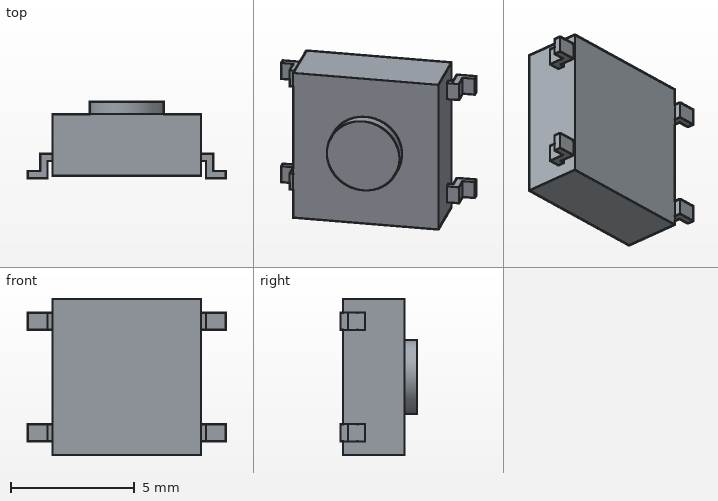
import cadquery as cq

housing_width = 6.0
housing_depth = 2.5
housing_height = 6.3

button_diameter = 3.0
button_travel = 0.5

overall_width = 8.0
lead_reach = (overall_width - housing_width) / 2
lead_thickness = 0.3
lead_width = 0.7
lead_pitch = 4.5
lead_rise = 1.0
foot_drop = 0.1
riser_outer = lead_reach / 2


def make_lead(side, center_z):
    """Z-shaped lead; side is -1 or +1 for the housing side it leaves."""
    wall_x = side * housing_width / 2
    riser_inner_x = wall_x + side * (riser_outer - lead_thickness)
    riser_outer_x = wall_x + side * riser_outer
    tip_x = wall_x + side * lead_reach
    foot_y = -foot_drop
    shoulder_y = foot_y + lead_rise
    outline = [
        (wall_x, shoulder_y),
        (riser_outer_x, shoulder_y),
        (riser_outer_x, foot_y + lead_thickness),
        (tip_x, foot_y + lead_thickness),
        (tip_x, foot_y),
        (riser_inner_x, foot_y),
        (riser_inner_x, shoulder_y - lead_thickness),
        (wall_x, shoulder_y - lead_thickness),
    ]
    return (
        cq.Workplane("XY", origin=(0, 0, center_z - lead_width / 2))
        .polyline(outline)
        .close()
        .extrude(lead_width)
    )


def make_housing():
    """Block with its four leads, as one solid."""
    body = cq.Workplane("XY").box(
        housing_width, housing_depth, housing_height, centered=(True, False, True)
    )
    for side in (-1, 1):
        for center_z in (-lead_pitch / 2, lead_pitch / 2):
            body = body.union(make_lead(side, center_z))
    return body


def make_button():
    """Disc standing on the back face of the housing."""
    return (
        cq.Workplane("XZ", origin=(0, housing_depth, 0))
        .circle(button_diameter / 2)
        .extrude(-button_travel)
    )


housing = make_housing()
button = make_button()
result = cq.Compound.makeCompound([housing.val(), button.val()])